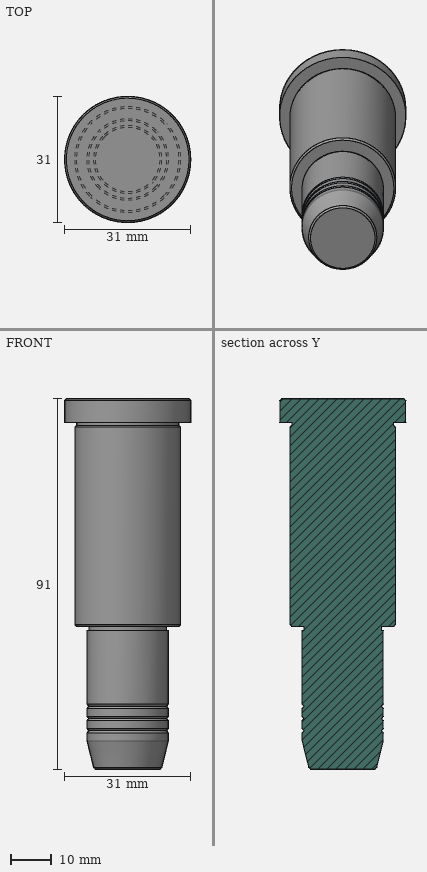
import cadquery as cq

total_length = 91.0
head_thickness = 5.9
shoulder_height = 35.0
taper_height = 7.0

head_radius = 15.52
body_radius = 13.0
pin_radius = 10.0
tip_radius = 8.4

edge_chamfer = 0.5
body_relief_width = 1.1
pin_relief_width = 0.9
relief_depth = 0.5

groove_count = 3
groove_pitch = 3.0
groove_width = 1.0
groove_depth = 0.5
first_groove_height = 9.5

head_base = total_length - head_thickness


def make_pin_blank():
    """Revolve the head, body, pin and tapered tip about Z."""
    profile = [
        (0, 0),
        (tip_radius - edge_chamfer, 0),
        (tip_radius, edge_chamfer),
        (pin_radius, taper_height),
        (pin_radius, shoulder_height),
        (body_radius - edge_chamfer, shoulder_height),
        (body_radius, shoulder_height + edge_chamfer),
        (body_radius, head_base),
        (head_radius, head_base),
        (head_radius, total_length - edge_chamfer),
        (head_radius - edge_chamfer, total_length),
        (0, total_length),
    ]
    return cq.Workplane("XZ").polyline(profile).close().revolve(360, (0, 0), (0, 1))


def make_relief(outer_radius, top, width, wall_slope_height):
    """Ring cut under a shoulder, whose lower wall may slope."""
    neck_radius = outer_radius - relief_depth
    profile = [
        (neck_radius, top),
        (outer_radius, top),
        (outer_radius, top - width),
        (neck_radius, top - width + wall_slope_height),
    ]
    return cq.Workplane("XZ").polyline(profile).close().revolve(360, (0, 0), (0, 1))


def make_groove(height):
    """V-shaped ring centred at the given height on the pin."""
    profile = [
        (pin_radius, height - groove_width / 2),
        (pin_radius - groove_depth, height),
        (pin_radius, height + groove_width / 2),
    ]
    return cq.Workplane("XZ").polyline(profile).close().revolve(360, (0, 0), (0, 1))


result = make_pin_blank()
result = result.cut(make_relief(body_radius, head_base, body_relief_width, relief_depth))
result = result.cut(make_relief(pin_radius, shoulder_height, pin_relief_width, 0))
for index in range(groove_count):
    result = result.cut(make_groove(first_groove_height + index * groove_pitch))